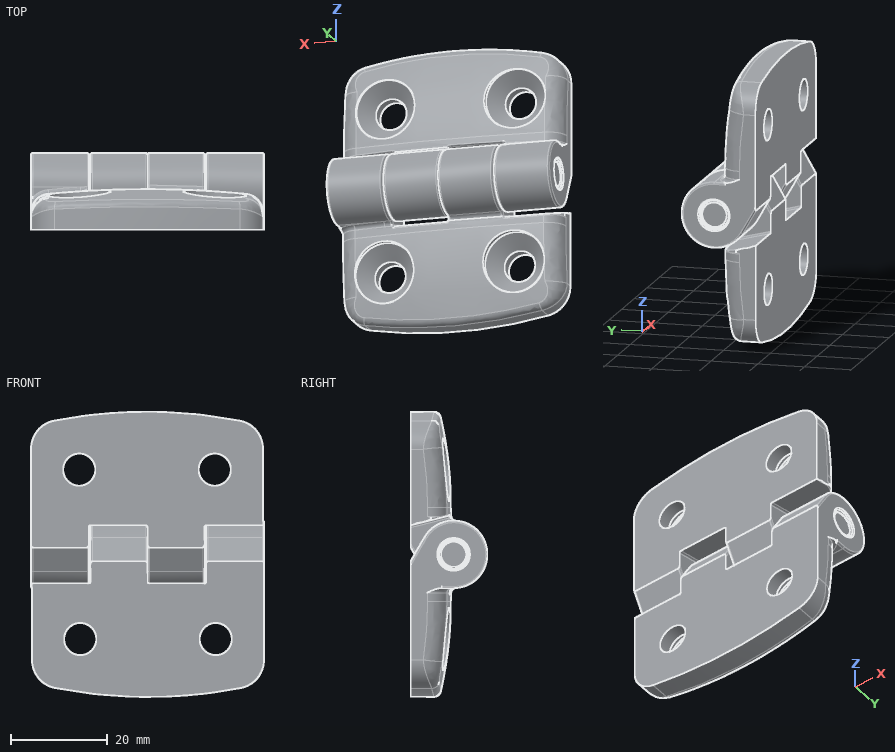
import cadquery as cq
import math


leaf_width = 48.0
leaf_reach = 29.5
end_bow_radius = 100.0
corner_radius = 6.0
leaf_shift = 0.1
plate_root = 2.0

crown_height = 8.45
crown_flat_end = 9.7
crown_radius_along = 83.0
crown_radius_across = 212.0
side_round = 4.0
end_round = 1.6

barrel_radius = 7.0
axis_height = 8.9
relief_angle = 60.0
knuckle_edge_round = 0.4
outer_round_end = 6.5
root_round = 0.9
knuckle_gap = 0.3
knuckle_pitch = leaf_width / 4

slot_floor_start = 6.0
slot_floor_angle = 14.0
slot_corner_round = 0.4

screw_hole_diameter = 6.6
screw_head_diameter = 13.0
screw_sink_start = 3.2
screw_half_spacing = 14.0
screw_reach = 17.5

pin_diameter = 6.0
pin_length = 47.2
pin_chamfer = 0.4
bore_diameter = 6.2
bore_chamfer = 0.3

tolerance = 0.001

half_width = leaf_width / 2
knuckle_spans = [
    (-half_width, -knuckle_pitch),
    (leaf_shift, knuckle_pitch + 2 * leaf_shift - knuckle_gap),
]
slot_spans = [
    (knuckle_spans[0][1], knuckle_spans[1][0]),
    (knuckle_spans[1][1], half_width + 2 * barrel_radius),
]


def outline_prism():
    """The leaf outline, extruded past the crown."""
    corner_z = leaf_reach - end_bow_radius + math.sqrt(end_bow_radius**2 - half_width**2)
    return (
        cq.Workplane("XZ")
        .moveTo(-half_width, plate_root)
        .lineTo(-half_width, corner_z)
        .threePointArc((0, leaf_reach), (half_width, corner_z))
        .lineTo(half_width, plate_root)
        .close()
        .extrude(-2 * crown_height)
        .edges("|Y and (not <Z)")
        .fillet(corner_radius)
    )


def crown_body():
    """Everything under the crown: an arc along the leaf, swept round a distant axis across it."""
    past_end = leaf_reach + corner_radius
    turn_y = crown_height - crown_radius_across
    half_sweep = math.degrees(2 * half_width / crown_radius_across)

    def fall(z):
        return crown_radius_along - math.sqrt(crown_radius_along**2 - (z - crown_flat_end) ** 2)

    middle = (crown_flat_end + past_end) / 2
    return (
        cq.Workplane("YZ")
        .moveTo(-crown_height, 0)
        .lineTo(crown_height, 0)
        .lineTo(crown_height, crown_flat_end)
        .threePointArc((crown_height - fall(middle), middle), (crown_height - fall(past_end), past_end))
        .lineTo(-crown_height, past_end)
        .close()
        .revolve(2 * half_sweep, (turn_y, 0), (turn_y, 1))
        .rotate((0, turn_y, 0), (0, turn_y, 1), -half_sweep)
    )


def rounded_plate():
    """The plate, its back edge rounded widely along the sides and tightly along the end.

    The radius changes evenly from one to the other round each corner.
    """
    plate = outline_prism().intersect(crown_body())
    rim = plate.edges(cq.selectors.NearestToPointSelector((0, crown_height, leaf_reach))).val()
    rounding = cq.occ_impl.shapes.BRepFilletAPI_MakeFillet(plate.val().wrapped)
    rounding.Add(end_round, rim.wrapped)
    for corner in plate.vertices().vals():
        if corner.Y < tolerance:
            continue
        on_side = abs(corner.X) > half_width - tolerance
        rounding.SetRadius(side_round if on_side else end_round, 1, corner.wrapped)
    return cq.Workplane(cq.Shape.cast(rounding.Shape()))


def knuckle_bar(start, end):
    """The knuckle section, a barrel that runs into the mounting face, along X from start to end."""
    slope = math.radians(relief_angle)
    touch_y = axis_height - barrel_radius * math.sin(slope)
    touch_z = -barrel_radius * math.cos(slope)
    relief_start = touch_z + touch_y * math.tan(slope)
    return (
        cq.Workplane("YZ", origin=(start, 0, 0))
        .moveTo(0, relief_start)
        .lineTo(touch_y, touch_z)
        .threePointArc((axis_height + barrel_radius, 0), (axis_height, barrel_radius))
        .lineTo(0, barrel_radius)
        .close()
        .extrude(end - start)
    )


def outer_edge_sliver():
    """The sliver that rounding takes off the outer knuckle's side, up to where its top meets the plate."""
    bar = knuckle_bar(*knuckle_spans[0])
    sliver = bar.cut(bar.faces("<X").edges("not <Y").fillet(knuckle_edge_round))
    plate_zone = cq.Workplane("XY", origin=(0, 0, plate_root)).rect(2 * leaf_width, 2 * outer_round_end)
    plate_zone = plate_zone.extrude(barrel_radius)
    return sliver.cut(plate_zone)


def slot(start, end):
    """Clears one knuckle of the other leaf, under a floor that rises towards the back."""
    depth = 2 * (axis_height + barrel_radius)
    rise = math.tan(math.radians(slot_floor_angle))
    return (
        cq.Workplane("YZ", origin=(start, 0, 0))
        .moveTo(-depth, slot_floor_start - depth * rise)
        .lineTo(depth, slot_floor_start + depth * rise)
        .lineTo(depth, -depth)
        .lineTo(-depth, -depth)
        .close()
        .extrude(end - start)
        .edges(cq.selectors.NearestToPointSelector((start, 0, slot_floor_start)))
        .fillet(slot_corner_round)
        .edges(cq.selectors.NearestToPointSelector((end, 0, slot_floor_start)))
        .fillet(slot_corner_round)
    )


def screw_hole(x):
    """A through hole, countersunk, with the head diameter carried on through the crown."""
    centre = cq.Workplane("XZ", origin=(x, 0, screw_reach))
    shank = centre.circle(screw_hole_diameter / 2).extrude(-crown_height)
    sink_depth = (screw_head_diameter - screw_hole_diameter) / 2
    sink = (
        centre.workplane(offset=-screw_sink_start)
        .circle(screw_hole_diameter / 2)
        .workplane(offset=-sink_depth)
        .circle(screw_head_diameter / 2)
        .loft(ruled=True)
    )
    head = (
        centre.workplane(offset=-screw_sink_start - sink_depth)
        .circle(screw_head_diameter / 2)
        .extrude(-crown_height)
    )
    return shank.union(sink).union(head)


def cut_pin_bore(leaf):
    """Bores the knuckles and chamfers the mouth at the outer side."""
    bore = cq.Workplane("YZ", origin=(0, axis_height, 0)).circle(bore_diameter / 2).extrude(leaf_width, both=True)
    mouth = (-half_width, axis_height, 0)
    return leaf.cut(bore).edges(cq.selectors.NearestToPointSelector(mouth)).chamfer(bore_chamfer)


def inner_rims(leaf):
    """The barrel arc and the relief slope that bound each knuckle's end faces inside the leaf."""
    rims = []
    for x in (knuckle_spans[0][1], *knuckle_spans[1]):
        low = (x - tolerance, tolerance, -barrel_radius)
        high = (x + tolerance, axis_height + barrel_radius, 0)
        rims += leaf.edges(cq.selectors.BoxSelector(low, high)).vals()
    return leaf.newObject(rims)


def build_leaf():
    """The upper leaf, with the middle of its width at X = 0."""
    half_bar = half_width + barrel_radius
    leaf = rounded_plate().union(knuckle_bar(-half_bar, half_bar))
    root = (0, crown_height, barrel_radius)
    leaf = leaf.edges(cq.selectors.NearestToPointSelector(root)).fillet(root_round)
    leaf = leaf.intersect(cq.Workplane("XY").box(leaf_width, 2 * leaf_reach, 2 * leaf_reach))
    for start, end in slot_spans:
        leaf = leaf.cut(slot(start, end))
    leaf = inner_rims(leaf).fillet(knuckle_edge_round)
    leaf = cut_pin_bore(leaf.cut(outer_edge_sliver()))
    for x in (-screw_half_spacing, screw_half_spacing):
        leaf = leaf.cut(screw_hole(x))
    return leaf


def build_pin():
    return (
        cq.Workplane("YZ", origin=(-pin_length / 2, axis_height, 0))
        .circle(pin_diameter / 2)
        .extrude(pin_length)
        .faces("<X or >X")
        .chamfer(pin_chamfer)
    )


upper_leaf = build_leaf().translate((-leaf_shift, 0, 0))
lower_leaf = upper_leaf.rotate((0, 0, 0), (0, 1, 0), 180)
pin = build_pin()

result = cq.Compound.makeCompound([upper_leaf.val(), lower_leaf.val(), pin.val()])